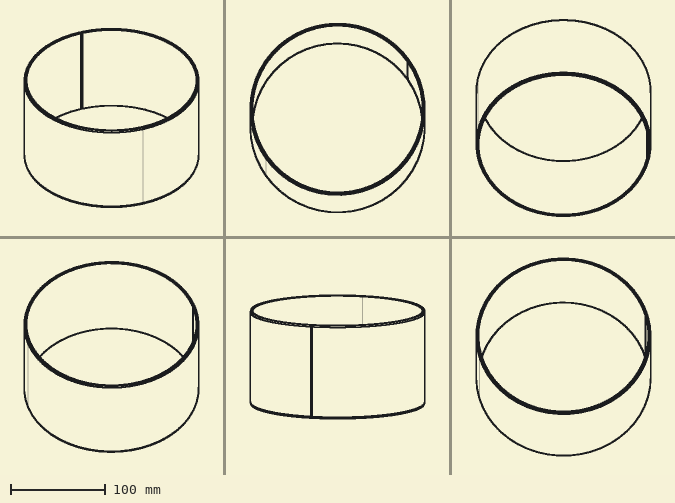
import cadquery as cq

outer_diameter = 185.0
wall = 2.5
height = 100.0
outer_chamfer_height = 1.8
outer_chamfer_depth = 0.67
inner_chamfer = 0.5
slit_width = 1.7

outer_radius = outer_diameter / 2
inner_radius = outer_radius - wall

wall_section = [
    (inner_radius, inner_chamfer),
    (inner_radius + inner_chamfer, 0),
    (outer_radius - outer_chamfer_depth, 0),
    (outer_radius, outer_chamfer_height),
    (outer_radius, height - outer_chamfer_height),
    (outer_radius - outer_chamfer_depth, height),
    (inner_radius + inner_chamfer, height),
    (inner_radius, height - inner_chamfer),
]

sleeve = cq.Workplane("XZ").polyline(wall_section).close().revolve(360, (0, 0), (0, 1))

slit = cq.Workplane("XY").box(
    outer_radius, slit_width, height, centered=(False, False, False)
).translate((-outer_radius, 0, 0))

result = sleeve.cut(slit)